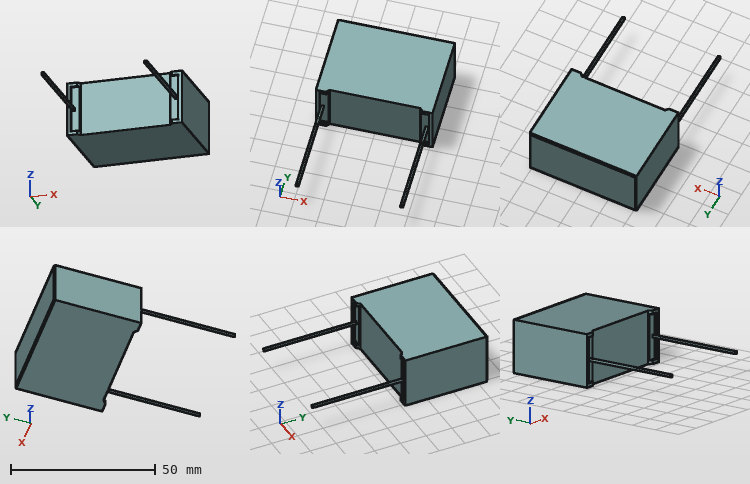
import cadquery as cq

case_width = 41.8
case_height = 19.3
total_length = 67.1
case_length = 32.1
lead_length = total_length - case_length

back_chamfer = 0.5
foot_width = 3.6
step_depth = 1.15
step_slope_width = 1.15
pocket_edge_margin = 1.35
pocket_width = 3.0
pocket_depth = 0.8

lead_diameter = 1.1
lead_spacing = 37.45

half_width = case_width / 2
back_y = total_length / 2
foot_y = back_y - case_length
pocket_floor_y = foot_y + pocket_depth
pocket_height = case_height - 2 * pocket_edge_margin
pocket_x = half_width - pocket_edge_margin - pocket_width / 2
lead_x = lead_spacing / 2
sides = (-1, 1)


def make_case_block():
    """Box with its back rim chamfered."""
    return (
        cq.Workplane("XY")
        .box(case_width, case_length, case_height)
        .translate((0, foot_y + case_length / 2, 0))
        .faces(">Y")
        .edges()
        .chamfer(back_chamfer)
    )


def make_front_step():
    """Sloped-end channel that leaves a foot at each end of the front."""
    outer_x = half_width - foot_width
    inner_x = outer_x - step_slope_width
    step_y = foot_y + step_depth
    return (
        cq.Workplane("XY")
        .polyline([(-outer_x, foot_y), (-inner_x, step_y), (inner_x, step_y), (outer_x, foot_y)])
        .close()
        .extrude(case_height / 2, both=True)
    )


def make_pocket(side):
    """Rectangular recess around one lead."""
    return (
        cq.Workplane("XY")
        .box(pocket_width, pocket_depth, pocket_height)
        .translate((side * pocket_x, foot_y + pocket_depth / 2, 0))
    )


def make_case():
    body = make_case_block().cut(make_front_step())
    for side in sides:
        body = body.cut(make_pocket(side))
    return body


def make_lead(side):
    """Round wire from the pocket floor to the -Y end of the part."""
    return (
        cq.Workplane("XZ", origin=(side * lead_x, pocket_floor_y, 0))
        .circle(lead_diameter / 2)
        .extrude(pocket_depth + lead_length)
    )


case = make_case()
leads = [make_lead(side) for side in sides]

result = cq.Compound.makeCompound([case.val(), *[lead.val() for lead in leads]])